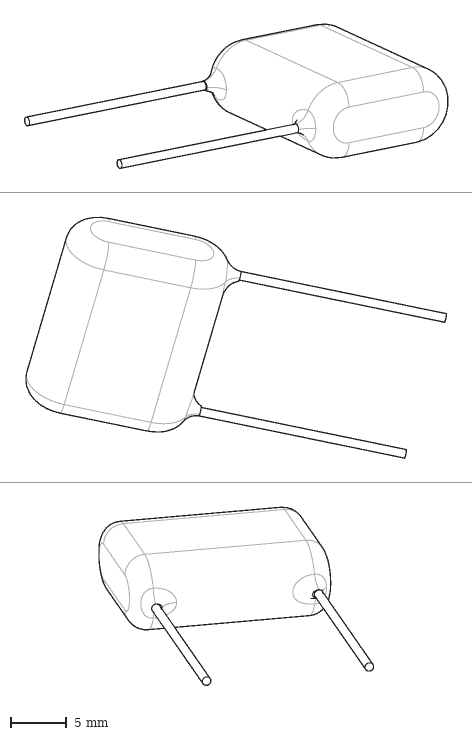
import cadquery as cq

TOTAL_LENGTH = 35.0
BODY_WIDTH = 18.5
BODY_LENGTH = 15.0
BODY_THICKNESS = 7.0
END_ROUNDING = 1.82

LEAD_DIAMETER = 0.8
LEAD_RADIUS = LEAD_DIAMETER / 2
LEAD_SPACING = 15.0
FLARE_RADIUS = 1.75
COLLAR_LENGTH = 1.0
SELECTION_MARGIN = 0.05

COLLAR_END_Y = -COLLAR_LENGTH
LEAD_END_Y = BODY_LENGTH - TOTAL_LENGTH
LEAD_XS = (-LEAD_SPACING / 2, LEAD_SPACING / 2)


def rod_along_y(x, y_start, y_end):
    """Round rod of lead thickness, running from y_start down to y_end."""
    return (
        cq.Workplane("XZ", origin=(x, y_start, 0))
        .circle(LEAD_RADIUS)
        .extrude(y_start - y_end)
    )


def make_rounded_block():
    """Block with full-round long sides and rounded rims at both X ends."""
    return (
        cq.Workplane("YZ")
        .center(BODY_LENGTH / 2, 0)
        .slot2D(BODY_LENGTH, BODY_THICKNESS)
        .extrude(BODY_WIDTH / 2, both=True)
        .faces("<X or >X")
        .edges()
        .fillet(END_ROUNDING)
    )


def make_body():
    """Capacitor body with a flared collar, cut flat, at each lead."""
    stub_start_y = BODY_THICKNESS / 2
    stub_end_y = COLLAR_END_Y - 2 * FLARE_RADIUS
    body = make_rounded_block()
    for x in LEAD_XS:
        body = body.union(rod_along_y(x, stub_start_y, stub_end_y))

    root_half_height = LEAD_RADIUS + SELECTION_MARGIN
    root_box = cq.selectors.BoxSelector(
        (-BODY_WIDTH, -LEAD_RADIUS, -root_half_height),
        (BODY_WIDTH, LEAD_RADIUS, root_half_height),
        boundingbox=True,
    )
    body = body.edges(root_box).fillet(FLARE_RADIUS)

    trim_length = COLLAR_END_Y - stub_end_y
    trim = cq.Workplane("XY").box(BODY_WIDTH, trim_length, BODY_THICKNESS)
    return body.cut(trim.translate((0, (COLLAR_END_Y + stub_end_y) / 2, 0)))


def make_lead(x):
    """Straight wire lead starting at the flat end of its collar."""
    return rod_along_y(x, COLLAR_END_Y, LEAD_END_Y)


body = make_body()
leads = [make_lead(x) for x in LEAD_XS]

result = cq.Compound.makeCompound([body.val(), *[lead.val() for lead in leads]])